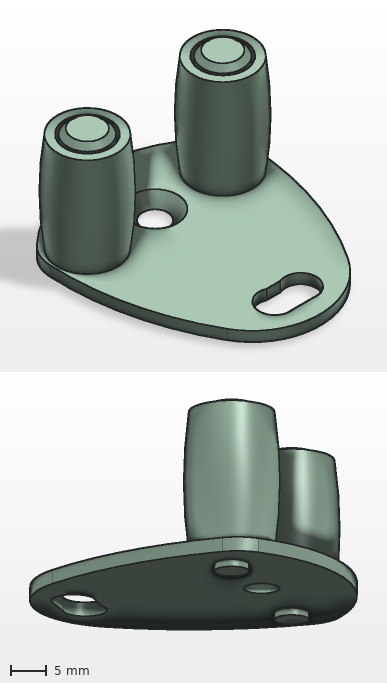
import cadquery as cq
import math

plate_length = 45.9
plate_thickness = 2.0
corner_x = 11.8
corner_radius = 6.47
nose_radius = 13.65

post_x = 12.63
post_y = 13.0
roller_height = 19.95
roller_end_radius = 12.0 / 2
roller_mid_radius = 13.4 / 2
roller_bore_radius = 9.0 / 2
pin_radius = 8.0 / 2
pin_top_radius = 6.0 / 2
pin_tail_radius = 4.8 / 2
pin_protrusion = 1.0

screw_top_radius = 9.0 / 2
screw_bottom_radius = 5.0 / 2

slot_x = 39.45
slot_end_diameter = 6.2
slot_end_spacing = 5.0
slot_waist = 5.9
slot_waist_x = 39.55


def polar_point(center, radius, angle):
    """Point on a circle at an angle in radians."""
    return (center[0] + radius * math.cos(angle), center[1] + radius * math.sin(angle))


def mirrored(point):
    """Point reflected across the X axis."""
    return (point[0], -point[1])


def plate_outline():
    """Closed outline of tangent arcs: rear, two corners, two flanks and nose."""
    corner = (corner_x, post_y)
    side_y = post_y + corner_radius

    rear_radius = (corner_x**2 + post_y**2 - corner_radius**2) / (2 * (corner_x - corner_radius))
    rear_angle = math.atan2(post_y, corner_x - rear_radius)
    rear_end = polar_point((rear_radius, 0), rear_radius, rear_angle)
    corner_mid = polar_point(corner, corner_radius, (rear_angle + math.pi / 2) / 2)
    corner_end = (corner_x, side_y)

    nose_x = plate_length - nose_radius
    flank_run = nose_x - corner_x
    flank_radius = (flank_run**2 + side_y**2 - nose_radius**2) / (2 * (side_y - nose_radius))
    flank_center = (corner_x, side_y - flank_radius)
    flank_angle = math.atan2(-flank_center[1], flank_run)
    flank_mid = polar_point(flank_center, flank_radius, (flank_angle + math.pi / 2) / 2)
    flank_end = polar_point(flank_center, flank_radius, flank_angle)

    return (
        cq.Workplane("XY")
        .moveTo(*mirrored(rear_end))
        .threePointArc((0, 0), rear_end)
        .threePointArc(corner_mid, corner_end)
        .threePointArc(flank_mid, flank_end)
        .threePointArc((plate_length, 0), mirrored(flank_end))
        .threePointArc(mirrored(flank_mid), mirrored(corner_end))
        .threePointArc(mirrored(corner_mid), mirrored(rear_end))
        .close()
    )


def revolve_profile(profile):
    """Revolve a radius-height profile about the Z axis."""
    return profile.close().revolve(360, (0, 0, 0), (0, 1, 0))


def make_screw_hole():
    """Cone that is removed from the plate for a countersunk screw."""
    profile = cq.Workplane("XZ").polyline([
        (0, 0),
        (screw_bottom_radius, 0),
        (screw_top_radius, plate_thickness),
        (0, plate_thickness),
    ])
    return revolve_profile(profile).translate((post_x, 0, 0))


def make_slot():
    """Through slot that is removed from the plate."""
    half_spacing = slot_end_spacing / 2
    ends = (
        cq.Workplane("XY")
        .pushPoints([(slot_x, -half_spacing), (slot_x, half_spacing)])
        .circle(slot_end_diameter / 2)
        .extrude(plate_thickness)
    )
    waist = (
        cq.Workplane("XY")
        .center(slot_waist_x, 0)
        .rect(slot_waist, slot_end_spacing)
        .extrude(plate_thickness)
    )
    return ends.union(waist)


def make_plate():
    """Base plate with pin holes, screw hole and strap slot."""
    pin_holes = (
        cq.Workplane("XY")
        .pushPoints([(post_x, -post_y), (post_x, post_y)])
        .circle(pin_tail_radius)
        .extrude(plate_thickness)
    )
    blank = plate_outline().extrude(plate_thickness)
    return blank.cut(pin_holes).cut(make_screw_hole()).cut(make_slot())


def make_roller(y):
    """Barrel-shaped sleeve standing on the plate, with a straight bore."""
    top = plate_thickness + roller_height
    middle = plate_thickness + roller_height / 2
    profile = (
        cq.Workplane("XZ")
        .moveTo(roller_bore_radius, plate_thickness)
        .lineTo(roller_end_radius, plate_thickness)
        .threePointArc((roller_mid_radius, middle), (roller_end_radius, top))
        .lineTo(roller_bore_radius, top)
    )
    return revolve_profile(profile).translate((post_x, y, 0))


def make_pin(y):
    """Pin with a tail through the plate, a shoulder on it and a tapered top."""
    taper_start = plate_thickness + roller_height
    profile = cq.Workplane("XZ").polyline([
        (0, -pin_protrusion),
        (pin_tail_radius, -pin_protrusion),
        (pin_tail_radius, plate_thickness),
        (pin_radius, plate_thickness),
        (pin_radius, taper_start),
        (pin_top_radius, taper_start + pin_protrusion),
        (0, taper_start + pin_protrusion),
    ])
    return revolve_profile(profile).translate((post_x, y, 0))


plate = make_plate()
rollers = []
pins = []
for side_y in (-post_y, post_y):
    rollers.append(make_roller(side_y).val())
    pins.append(make_pin(side_y).val())

result = cq.Compound.makeCompound([plate.val(), *rollers, *pins])